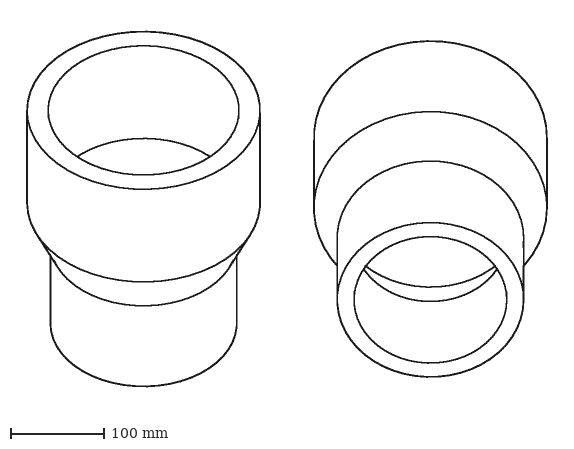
import cadquery as cq

total_height = 310.0
socket_diameter = 250.0
socket_bore = 204.5
spigot_diameter = 200.0
spigot_bore = 163.7
socket_height = 135.0
spigot_height = 117.5
taper_top = total_height - socket_height


def stepped_solid(wide_diameter, narrow_diameter):
    """Narrow cylinder, cone and wide cylinder revolved about Z."""
    wide_radius = wide_diameter / 2
    narrow_radius = narrow_diameter / 2
    return (
        cq.Workplane("XZ")
        .lineTo(narrow_radius, 0)
        .lineTo(narrow_radius, spigot_height)
        .lineTo(wide_radius, taper_top)
        .lineTo(wide_radius, total_height)
        .lineTo(0, total_height)
        .close()
        .revolve(360, (0, 0, 0), (0, 1, 0))
    )


outside = stepped_solid(socket_diameter, spigot_diameter)
bore = stepped_solid(socket_bore, spigot_bore)
result = outside.cut(bore)